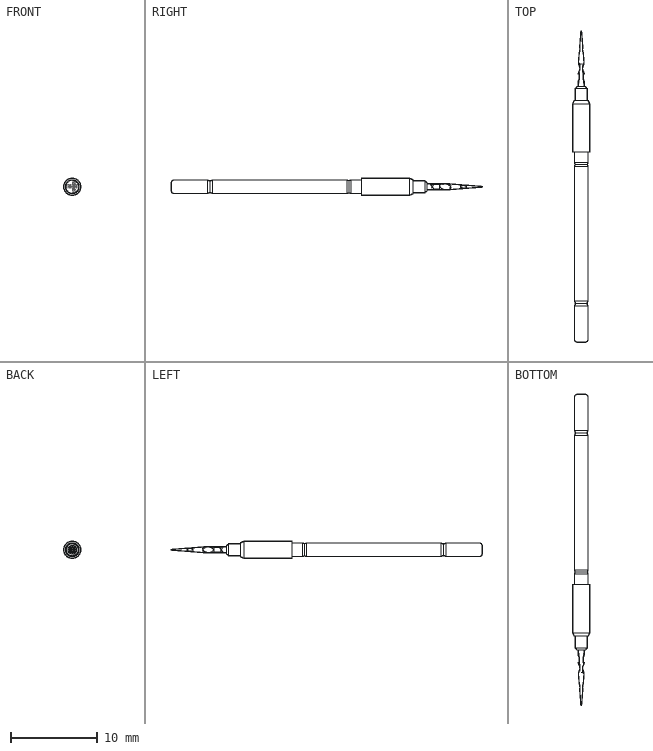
import cadquery as cq

total_length = 36.0

shank_radius = 0.8
shank_end_round = 0.38
body_radius = 1.0
body_rear_from_tip = 14.0
body_front_from_tip = 8.4
body_cone_small_radius = 0.8
neck_radius = 0.7
neck_rear_from_tip = 8.0
neck_front_from_tip = 6.4
neck_chamfer_length = 0.25
neck_face_radius = 0.5

drill_radius = 0.35
drill_taper_from_tip = 3.8
tip_radius = 0.05

shank_grooves = [
    (15.45, 0.46, 0.08),
    (31.5, 0.62, 0.13),
]

round_flutes = [
    (2.1, 0.16),
    (4.3, 0.14),
]
round_flute_radius = 0.8
flute_slant = -30.0

flat_flute_front_from_tip = 4.95
flat_flute_web = 0.25
flat_flute_top_length = 0.6
flat_flute_bottom_length = 1.1

cutter_reach = 1.0


def along_axis(from_tip):
    """Y position of a point given by its distance from the tip."""
    return total_length - from_tip


def turned_body():
    """Shank, body, neck and tapered drill, revolved about Y."""
    taper_y = along_axis(drill_taper_from_tip)
    neck_front_y = along_axis(neck_front_from_tip)
    neck_rear_y = along_axis(neck_rear_from_tip)
    body_front_y = along_axis(body_front_from_tip)
    body_rear_y = along_axis(body_rear_from_tip)

    outline = cq.Workplane("XY").lineTo(shank_radius - shank_end_round, 0)
    outline = outline.radiusArc((shank_radius, shank_end_round), -shank_end_round)
    for from_tip, width, depth in reversed(shank_grooves):
        groove_y = along_axis(from_tip)
        outline = outline.lineTo(shank_radius, groove_y - width / 2)
        outline = outline.lineTo(shank_radius - depth, groove_y)
        outline = outline.lineTo(shank_radius, groove_y + width / 2)
    outline = (
        outline.lineTo(shank_radius, body_rear_y)
        .lineTo(body_radius, body_rear_y)
        .lineTo(body_radius, body_front_y)
        .lineTo(body_cone_small_radius, neck_rear_y)
        .lineTo(neck_radius, neck_rear_y)
        .lineTo(neck_radius, neck_front_y - neck_chamfer_length)
        .lineTo(neck_face_radius, neck_front_y)
        .lineTo(drill_radius, neck_front_y)
        .lineTo(drill_radius, taper_y)
        .lineTo(tip_radius, total_length)
        .lineTo(0, total_length)
        .close()
    )
    return outline.revolve(360, (0, 0, 0), (0, 1, 0))


def opposite(cutter):
    """The same cutter half a turn around the tool axis."""
    return cutter.rotate((0, 0, 0), (0, 1, 0), 180)


def round_flute(from_tip, web):
    """Slanted cylinder that hollows the -X side down to the web."""
    flute_y = along_axis(from_tip)
    axis_x = -(web + round_flute_radius)
    cutter = (
        cq.Workplane("XY")
        .center(axis_x, flute_y)
        .circle(round_flute_radius)
        .extrude(cutter_reach, both=True)
    )
    return cutter.rotate((0, flute_y, 0), (1, flute_y, 0), flute_slant)


def flat_flute():
    """Flat on the -X side with a slanted rear wall."""
    front_y = along_axis(flat_flute_front_from_tip)
    return (
        cq.Workplane("YZ", origin=(-flat_flute_web, 0, 0))
        .moveTo(front_y, drill_radius)
        .lineTo(front_y - flat_flute_top_length, drill_radius)
        .lineTo(front_y - flat_flute_bottom_length, -drill_radius)
        .lineTo(front_y, -drill_radius)
        .close()
        .extrude(-cutter_reach)
    )


def flute_cutters():
    """Cutters for the -X side of the drill, from the point rearwards."""
    cutters = [round_flute(from_tip, web) for from_tip, web in round_flutes]
    cutters.append(flat_flute())
    return cutters


result = turned_body()
for flute in flute_cutters():
    result = result.cut(flute).cut(opposite(flute))